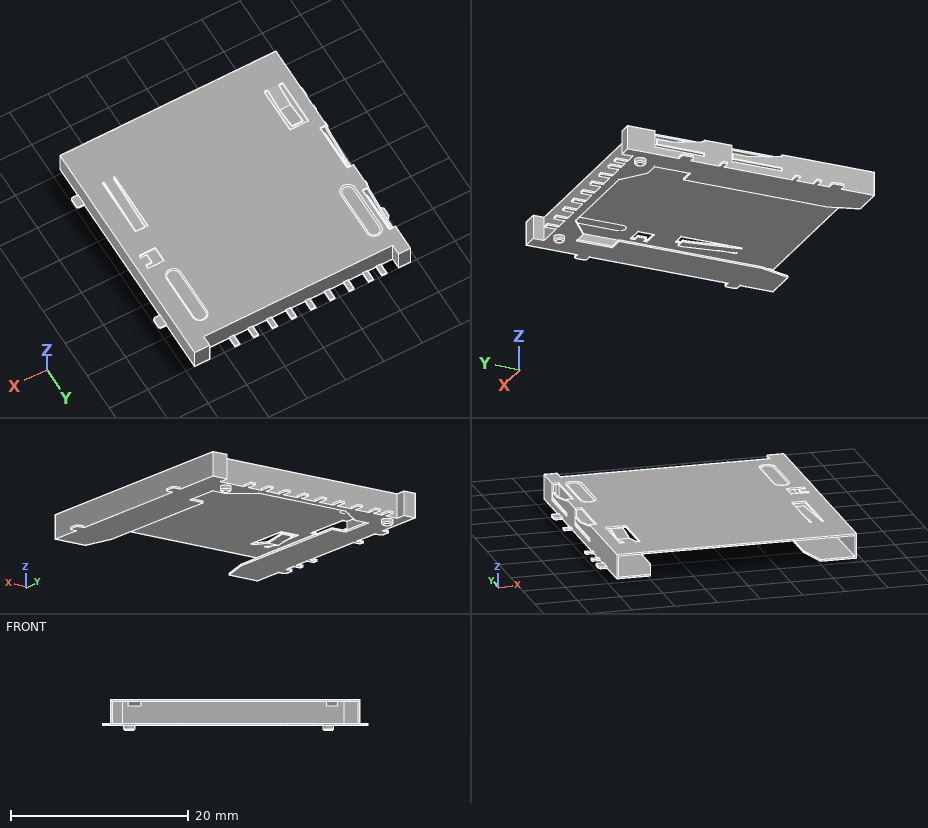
import cadquery as cq


SHEET = 0.2
WIDTH = 28.12
LENGTH = 30.5
HEIGHT = 2.9
LEFT = -WIDTH / 2
RIGHT = WIDTH / 2
FRONT = -LENGTH / 2
REAR = LENGTH / 2
CEILING = HEIGHT - SHEET

LEFT_EAR = 1.55
RIGHT_EAR = 1.98
NOTCH_DEPTH = 1.35
NOTCH_LEFT = LEFT + LEFT_EAR
NOTCH_RIGHT = RIGHT - RIGHT_EAR
NOTCH_Y = REAR - NOTCH_DEPTH

OPENING_X = -0.12
FLANGE_MOUTH = 4.1
FLANGE = 5.1
RELIEF_FLANGE = 3.23
LEAD_IN_LENGTH = 3.65
RELIEF_Y = 6.1
REAR_FLOOR_Y = 10.52
BAY_INSET = 8.05
BAY_Y = 12.8

TAB_REACH = 0.95
SOLDER_TAB_WIDTH = 1.5
SOLDER_TAB_CHAMFER = 0.18
SOLDER_TAB_YS = (8.17, -10.43)
SWITCH_PIN_WIDTH = 0.58
SWITCH_PIN_YS = (3.6, -5.4, -8.02)
REAR_PIN_WIDTH = 0.65
REAR_PIN_XS = (-10.65, -8.9, -6.4, -3.9, -1.4, 1.1, 3.6, 6.05, 8.48)

PEGS = ((-11.95, 1.28), (10.5, 1.22))
PEG_Y = 12.75
PEG_DROP = 0.55
PEG_CHAMFER = 0.15

DIMPLES = ((-11.75, 1.9, 0.25), (10.95, 1.83, 0.15))
DIMPLE_Y = 8.05
DIMPLE_LENGTH = 7.75
DIMPLE_DEPTH = 0.12

SIDE_WINDOWS = ((11.83, 6.07, 0.27), (2.32, 6.15, 0.12))
SIDE_WINDOW_REACH = 0.8
SIDE_WINDOW_SILL = 0.88
SPRING_BOTTOM = 1.28
SPRING_TIP_TOP = 1.9
SPRING_RAMP = 2.15

FINGER_DROP = 0.5
LEFT_FINGER_X = -11.38
LEFT_FINGER_WIDTH = 1.43
LEFT_FINGER_ROOT_Y = -11.2
LEFT_WINDOW = (-12.6, -10.22, LEFT_FINGER_ROOT_Y, -5.3)
LEFT_FINGER_BEND_Y = -8.45
LEFT_FINGER_TIP_Y = -5.7
LEFT_FINGER_TIP_DROP = 0.1
RIGHT_FINGER_X = 10.92
RIGHT_FINGER_WIDTH = 1.22
RIGHT_FINGER_ROOT_Y = -9.7
RIGHT_WINDOW = (10.13, 11.7, RIGHT_FINGER_ROOT_Y, -2.17)
RIGHT_FINGER_BEND_Y = -2.93
RIGHT_FINGER_TIP_Y = -2.4

LATCH_WINDOW = (10.9, 12.95, 0.82, 2.85)
LATCH_TONGUE = (12.17, 12.95, 1.2, 2.32)


def block(x0, x1, y0, y1, z0, z1):
    """Box between two corners."""
    return cq.Workplane("XY").box(x1 - x0, y1 - y0, z1 - z0, centered=False).translate((x0, y0, z0))


def mirrored(points):
    """Left-hand points followed by their mirror image, as one outline."""
    return points + [(-x, y) for x, y in reversed(points)]


def plate(points, z0, z1):
    """Flat plate with the given XY outline."""
    return cq.Workplane("XY").workplane(offset=z0).polyline(points).close().extrude(z1 - z0)


def make_shell():
    """Thin sleeve, open at the front, with its rear wall following the notch."""
    outline = [
        (LEFT, FRONT),
        (LEFT, REAR),
        (NOTCH_LEFT, REAR),
        (NOTCH_LEFT, NOTCH_Y),
        (NOTCH_RIGHT, NOTCH_Y),
        (NOTCH_RIGHT, REAR),
        (RIGHT, REAR),
        (RIGHT, FRONT),
    ]
    cavity_outline = [
        (LEFT + SHEET, FRONT),
        (LEFT + SHEET, REAR - SHEET),
        (NOTCH_LEFT - SHEET, REAR - SHEET),
        (NOTCH_LEFT - SHEET, NOTCH_Y - SHEET),
        (NOTCH_RIGHT + SHEET, NOTCH_Y - SHEET),
        (NOTCH_RIGHT + SHEET, REAR - SHEET),
        (RIGHT - SHEET, REAR - SHEET),
        (RIGHT - SHEET, FRONT),
    ]
    return plate(outline, 0, HEIGHT).cut(plate(cavity_outline, SHEET, CEILING))


def make_floor_opening():
    """Opening that leaves two side flanges and a rear strip of the floor."""
    left_edge = [
        (LEFT + FLANGE_MOUTH, FRONT),
        (LEFT + FLANGE, FRONT + LEAD_IN_LENGTH),
        (LEFT + FLANGE, RELIEF_Y),
        (LEFT + RELIEF_FLANGE, RELIEF_Y),
        (LEFT + RELIEF_FLANGE, REAR_FLOOR_Y),
        (LEFT + FLANGE, REAR_FLOOR_Y),
        (LEFT + BAY_INSET, BAY_Y),
    ]
    return plate(mirrored(left_edge), 0, SHEET).translate((OPENING_X, 0, 0))


def make_dimple(x, width, wall_run):
    """Shallow oval recess with sloping side walls."""
    return (
        cq.Workplane("XY", origin=(x, DIMPLE_Y, HEIGHT))
        .slot2D(DIMPLE_LENGTH, width, 90)
        .workplane(offset=-DIMPLE_DEPTH)
        .slot2D(DIMPLE_LENGTH - 2 * wall_run, width - 2 * wall_run, 90)
        .loft(ruled=True)
    )


def make_side_window(rear_y, length):
    """Cutout across the left wall and the edge of the cover."""
    return block(LEFT, LEFT + SIDE_WINDOW_REACH, rear_y - length, rear_y, SIDE_WINDOW_SILL, HEIGHT)


def make_side_spring(rear_y, length, tip_gap):
    """Tapered spring arm in the left wall, rooted at the front end of its window."""
    root_y = rear_y - length
    tip_y = rear_y - tip_gap
    profile = [
        (root_y, SPRING_BOTTOM),
        (tip_y, SPRING_BOTTOM),
        (tip_y, SPRING_TIP_TOP),
        (rear_y - SPRING_RAMP, SPRING_TIP_TOP),
        (root_y, CEILING),
    ]
    return cq.Workplane("YZ", origin=(LEFT, 0, 0)).polyline(profile).close().extrude(SHEET)


def make_finger(x, width, top_line):
    """Bent strip of sheet whose upper face follows the (Y, Z) points of top_line."""
    bottom_line = [(y, z - SHEET) for y, z in reversed(top_line)]
    return (
        cq.Workplane("YZ", origin=(x - width / 2, 0, 0))
        .polyline(top_line + bottom_line)
        .close()
        .extrude(width)
    )


def make_solder_tab(side, y):
    """Flat tab with chamfered outer corners; side is -1 for left, 1 for right."""
    tab = (
        cq.Workplane("XY", origin=(side * (RIGHT + TAB_REACH / 2), y, 0))
        .box(TAB_REACH, SOLDER_TAB_WIDTH, SHEET, centered=(True, True, False))
    )
    outer_face = ">X" if side > 0 else "<X"
    return tab.faces(outer_face).edges("|Z").chamfer(SOLDER_TAB_CHAMFER)


def make_peg(x, diameter):
    """Round peg under the rear floor strip, chamfered at its tip."""
    return (
        cq.Workplane("XY", origin=(x, PEG_Y, -PEG_DROP))
        .circle(diameter / 2)
        .extrude(PEG_DROP + SHEET)
        .faces("<Z")
        .chamfer(PEG_CHAMFER)
    )


result = make_shell().cut(make_floor_opening())

for dimple in DIMPLES:
    result = result.cut(make_dimple(*dimple))

for window_rear, window_length, spring_gap in SIDE_WINDOWS:
    result = result.cut(make_side_window(window_rear, window_length))
    result = result.union(make_side_spring(window_rear, window_length, spring_gap))

for window in (LEFT_WINDOW, RIGHT_WINDOW, LATCH_WINDOW):
    result = result.cut(block(*window, CEILING, HEIGHT))
result = result.union(block(*LATCH_TONGUE, CEILING, HEIGHT))

left_top_line = [
    (LEFT_FINGER_ROOT_Y, HEIGHT),
    (LEFT_FINGER_BEND_Y, HEIGHT - FINGER_DROP),
    (LEFT_FINGER_TIP_Y, HEIGHT - LEFT_FINGER_TIP_DROP),
]
right_top_line = [
    (RIGHT_FINGER_ROOT_Y, HEIGHT),
    (RIGHT_FINGER_BEND_Y, HEIGHT - FINGER_DROP),
    (RIGHT_FINGER_TIP_Y, HEIGHT - FINGER_DROP),
]
result = result.union(make_finger(LEFT_FINGER_X, LEFT_FINGER_WIDTH, left_top_line))
result = result.union(make_finger(RIGHT_FINGER_X, RIGHT_FINGER_WIDTH, right_top_line))

for tab_y in SOLDER_TAB_YS:
    for tab_side in (-1, 1):
        result = result.union(make_solder_tab(tab_side, tab_y))

switch_half = SWITCH_PIN_WIDTH / 2
for pin_y in SWITCH_PIN_YS:
    result = result.union(block(LEFT - TAB_REACH, LEFT, pin_y - switch_half, pin_y + switch_half, 0, SHEET))

rear_pin_half = REAR_PIN_WIDTH / 2
for pin_x in REAR_PIN_XS:
    result = result.union(block(pin_x - rear_pin_half, pin_x + rear_pin_half, NOTCH_Y, REAR, 0, SHEET))

for peg in PEGS:
    result = result.union(make_peg(*peg))